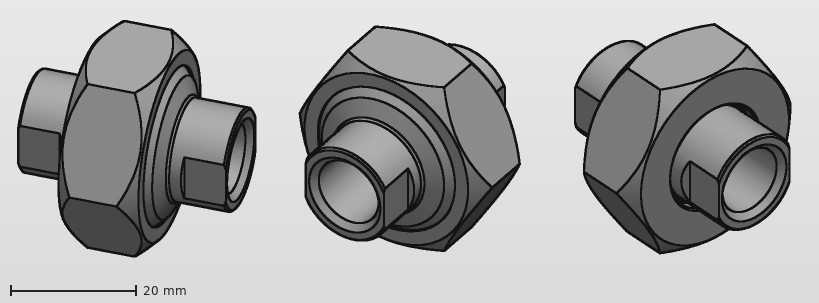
import cadquery as cq

total_length = 35.0
pipe_end = total_length / 2

pipe_radius = 17.0 / 2
bore_radius = 11.45 / 2
mouth_radius = 6.85
mouth_depth = 1.1
end_chamfer = 0.35
flat_offset = 7.5
flat_depth = pipe_radius - flat_offset
flat_length = 7.0
tail_runout = flat_depth
body_runout = 0.25

corner_radius = 36.95 / 2
nut_left = -7.98
nut_right = 5.5
nut_face_radius = 15.7
corner_chamfer = corner_radius - nut_face_radius
lip_radius = 18.5 / 2
lip_chamfer = 0.3
lip_back = -4.05
thread_radius = 26.4 / 2

flange_radius = 24.13 / 2
joint_x = -1.48
foot_length = 0.45
foot_rise = 0.37
foot_radius = pipe_radius + foot_rise
tail_foot_x = -6.4
tail_shoulder_length = 0.2

thread_chamfer_end = 6.5
thread_chamfer_radius = 23.5 / 2
thread_chamfer = thread_radius - thread_chamfer_radius
body_foot_x = 8.28


def revolve_profile(points):
    """Revolve an (x, radius) profile around the X axis."""
    profile = cq.Workplane("XY").polyline(points).close()
    return profile.revolve(360, (0, 0, 0), (1, 0, 0))


def cut_wrench_flats(part, end_direction, runout):
    """Cut two opposite flats at a pipe end, with a sloping runout toward the middle."""
    end_x = end_direction * pipe_end
    floor_x = end_direction * (pipe_end - flat_length)
    runout_x = floor_x - end_direction * runout
    for side in (1, -1):
        flat_y = side * flat_offset
        rim_y = side * pipe_radius
        cutter = (
            cq.Workplane("XY")
            .polyline([(end_x, flat_y), (floor_x, flat_y), (runout_x, rim_y), (end_x, rim_y)])
            .close()
            .extrude(pipe_radius, both=True)
        )
        part = part.cut(cutter)
    return part


def make_tailpiece():
    shoulder_x = tail_foot_x + foot_length
    blank = revolve_profile([
        (-pipe_end, mouth_radius),
        (-pipe_end, pipe_radius - end_chamfer),
        (-pipe_end + end_chamfer, pipe_radius),
        (tail_foot_x, pipe_radius),
        (shoulder_x, foot_radius),
        (shoulder_x + tail_shoulder_length, lip_radius),
        (lip_back, lip_radius),
        (lip_back, flange_radius),
        (joint_x, flange_radius),
        (joint_x, bore_radius),
        (-pipe_end + mouth_depth, bore_radius),
    ])
    return cut_wrench_flats(blank, -1, tail_runout)


def make_nut():
    hexagon = (
        cq.Workplane("YZ", origin=(nut_left, 0, 0))
        .polygon(6, 2 * corner_radius)
        .extrude(nut_right - nut_left)
    )
    chamfered_ring = revolve_profile([
        (nut_left, lip_radius + lip_chamfer),
        (nut_left, nut_face_radius),
        (nut_left + corner_chamfer, corner_radius),
        (nut_right - corner_chamfer, corner_radius),
        (nut_right, nut_face_radius),
        (nut_right, thread_radius),
        (lip_back, thread_radius),
        (lip_back, lip_radius),
        (nut_left + lip_chamfer, lip_radius),
    ])
    return hexagon.intersect(chamfered_ring)


def make_threaded_body():
    blank = revolve_profile([
        (joint_x, bore_radius),
        (joint_x, thread_radius),
        (thread_chamfer_end - thread_chamfer, thread_radius),
        (thread_chamfer_end, thread_chamfer_radius),
        (body_foot_x - foot_length, foot_radius),
        (body_foot_x, pipe_radius),
        (pipe_end - end_chamfer, pipe_radius),
        (pipe_end, pipe_radius - end_chamfer),
        (pipe_end, mouth_radius),
        (pipe_end - mouth_depth, bore_radius),
    ])
    return cut_wrench_flats(blank, 1, body_runout)


tailpiece = make_tailpiece()
nut = make_nut()
threaded_body = make_threaded_body()

result = cq.Compound.makeCompound([tailpiece.val(), nut.val(), threaded_body.val()])